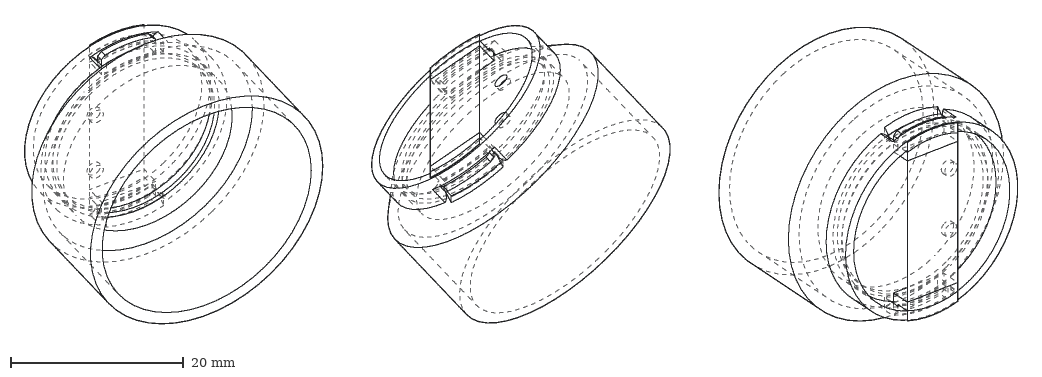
import cadquery as cq
import math

total_length = 20.25
body_diameter = 31.35
body_bore_diameter = 28.2
neck_diameter = 25.1
neck_bore_diameter = 22.75
housing_front = 0.2
neck_end = 3.9
cone_end = neck_end + (body_diameter - neck_diameter) / 2

window_front = 1.63
window_back = 4.1
window_width = 7.7
window_height = 9.4
window_edge_radius = 0.75

cap_diameter = 22.55
cap_front = 2.65
cap_back = 4.25
cap_floor = 0.7
cap_rim = 0.63
foot_width = 7.35
foot_inner = 9.5
lug_front = 1.85
lug_corner = 0.5
hole_diameter = 1.8
hole_y = -4.7
hole_spacing = 8.2

strip_thickness = 0.03


def cylinder(diameter, start, end):
    return cq.Workplane("YZ").workplane(offset=start).circle(diameter / 2).extrude(end - start)


def slab(start, end, width, bottom, top):
    """Block centred on Y, between two X positions and two heights."""
    block = cq.Workplane("XY").box(end - start, width, top - bottom, centered=(False, True, False))
    return block.translate((start, 0, bottom))


def both_sides(shape):
    """Join a feature at +Z with its copy turned half a turn about the axis."""
    return shape.union(shape.rotate((0, 0, 0), (1, 0, 0), 180))


def revolve_about_x(outline):
    """Solid of revolution from (X, radius) points."""
    return cq.Workplane("XY").polyline(outline).close().revolve(360, (0, 0, 0), (1, 0, 0))


def make_flare():
    """Widening at +Z that rounds the edges of the window where it opens out through the neck."""
    half_width = window_width / 2
    radius = window_edge_radius
    mouth_half_width = half_width + radius
    mouth_height = math.sqrt((neck_diameter / 2) ** 2 - mouth_half_width**2)
    round_start = mouth_height - radius
    arc_offset = radius * (1 - math.sqrt(0.5))
    arc_rise = radius * math.sqrt(0.5)
    return (
        cq.Workplane("YZ")
        .workplane(offset=window_front)
        .moveTo(-half_width, round_start)
        .threePointArc((-half_width - arc_offset, round_start + arc_rise), (-mouth_half_width, mouth_height))
        .lineTo(-mouth_half_width, body_diameter / 2)
        .lineTo(mouth_half_width, body_diameter / 2)
        .lineTo(mouth_half_width, mouth_height)
        .threePointArc((half_width + arc_offset, round_start + arc_rise), (half_width, round_start))
        .close()
        .extrude(neck_end - window_front)
    )


def make_housing():
    neck_wall = (neck_diameter - neck_bore_diameter) / 2
    cone_at_bore = (neck_end - neck_wall, neck_bore_diameter / 2)
    cone_at_neck = (neck_end, neck_diameter / 2)
    neck = revolve_about_x([
        (housing_front, neck_bore_diameter / 2),
        (housing_front, neck_diameter / 2),
        cone_at_neck,
        cone_at_bore,
    ])
    body = revolve_about_x([
        cone_at_bore,
        (cone_end, body_diameter / 2),
        (total_length, body_diameter / 2),
        (total_length, body_bore_diameter / 2),
        (cone_end, body_bore_diameter / 2),
        (cone_end, neck_bore_diameter / 2),
    ])
    window = slab(window_front, window_back, window_width, window_height, body_diameter / 2)
    shell = neck.cut(both_sides(make_flare())).union(body)
    return shell.cut(both_sides(window))


def make_foot():
    """Foot at +Z that reaches the strip and carries a snap lug with bevelled corners."""
    foot = slab(strip_thickness, cap_front, foot_width, foot_inner, body_diameter / 2)
    foot = foot.intersect(cylinder(cap_diameter, strip_thickness, cap_front))
    half_width = foot_width / 2
    bevel_top = math.sqrt((neck_diameter / 2) ** 2 - (half_width - lug_corner) ** 2)
    lug = (
        cq.Workplane("YZ")
        .workplane(offset=lug_front)
        .moveTo(-half_width, foot_inner)
        .lineTo(-half_width, bevel_top - lug_corner)
        .lineTo(-half_width + lug_corner, bevel_top)
        .threePointArc((0, neck_diameter / 2), (half_width - lug_corner, bevel_top))
        .lineTo(half_width, bevel_top - lug_corner)
        .lineTo(half_width, foot_inner)
        .close()
        .extrude(cap_front - lug_front)
    )
    return foot.union(lug)


def make_cap():
    disc = cylinder(cap_diameter, cap_front, cap_back)
    hollow = cylinder(cap_diameter - 2 * cap_rim, cap_front + cap_floor, cap_back)
    holes = (
        cq.Workplane("YZ")
        .workplane(offset=cap_front)
        .pushPoints([(hole_y, -hole_spacing / 2), (hole_y, hole_spacing / 2)])
        .circle(hole_diameter / 2)
        .extrude(cap_floor)
    )
    return disc.cut(hollow).cut(holes).union(both_sides(make_foot()))


def make_strip():
    """Thin strip across the front, with ends rounded to the neck diameter."""
    blank = slab(0, strip_thickness, foot_width, -body_diameter / 2, body_diameter / 2)
    return blank.intersect(cylinder(neck_diameter, 0, strip_thickness))


housing = make_housing()
cap = make_cap()
strip = make_strip()

result = cq.Compound.makeCompound([housing.val(), cap.val(), strip.val()])